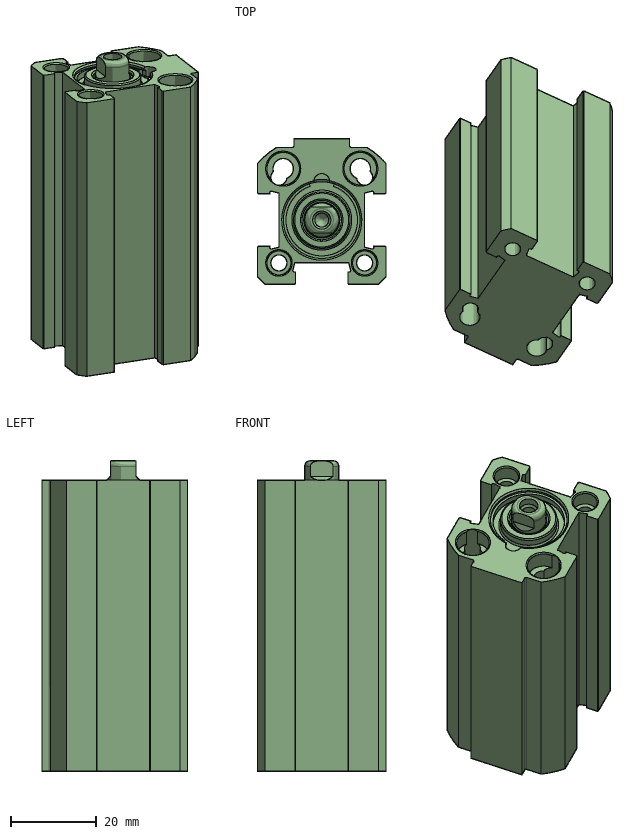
import cadquery as cq
import math


housing_height = 68.0
half_width = 15.0
shoulder_y = 17.0
corner_radius = 20.0
tab_y = 19.0
tab_half_width = 6.5
tab_root_fillet = 0.35

slot_depth = 5.0
slot_half_opening = 6.1
slot_lip_thickness = 2.9
slot_floor_half_width = 6.3
slot_undercut_half_width = 6.8
slot_undercut_fillet = 0.3
slot_mouth_fillet = 0.2

bolt_offset = 10.0
bolt_hole_diameter = 3.7
front_bore_diameter = 5.6
front_bore_depth = 4.0
rear_hole_x = 9.0
rear_hole_y = 12.0
rear_hole_diameter = 4.7
rear_bore_diameter = 7.6
rear_bore_depth = 4.6
corner_bore_chamfer = 0.3

bore_diameter = 17.9
mouth_chamfer = 0.4
notch_diameter = 3.7
notch_y = 9.0
notch_depth = 2.4

ring_outer_diameter = 19.0
ring_inner_diameter = 16.7
ring_top_depth = 0.9
ring_half_gap_angle = math.radians(19)
ring_groove_depth = (ring_outer_diameter - bore_diameter) / 2
ring_bottom_depth = notch_depth
ring_thickness = ring_bottom_depth - ring_top_depth

flange_length = 8.0
flange_depth = ring_bottom_depth
boss_diameter = 13.2
boss_chamfer = 0.3
boss_foot_diameter = 14.0
boss_foot_flare = (boss_foot_diameter - boss_diameter) / 2
scraper_recess_diameter = 9.2
scraper_recess_depth = 0.6
scraper_chamfer = 0.35
rod_bore_lead_in_diameter = 8.42

rod_diameter = 8.0
rod_projection = 4.5
rod_tip_fillet = 1.3
flat_half_width = 3.0
flat_base_height = 0.85
rod_relief_diameter = 4.25
rod_relief_depth = 1.9
rod_drill_diameter = 3.24
rod_drill_depth = 8.0
drill_point_half_angle = math.radians(59)

flange_top = housing_height - flange_depth
cover_bottom = flange_top - flange_length
rod_top = housing_height + rod_projection


def cylinder(diameter, z_bottom, z_top, x=0, y=0):
    return cq.Workplane("XY", origin=(x, y, z_bottom)).circle(diameter / 2).extrude(z_top - z_bottom)


def cone(bottom_diameter, top_diameter, z_bottom, z_top, x=0, y=0):
    solid = cq.Solid.makeCone(bottom_diameter / 2, top_diameter / 2, z_top - z_bottom, cq.Vector(x, y, z_bottom))
    return cq.Workplane(obj=solid)


def sensor_slot(angle):
    """T-shaped slot cut into the face at the given angle about Z; angle 0 is the +X face."""
    floor_x = half_width - slot_depth
    lip_x = half_width - slot_lip_thickness
    mouth_x = half_width - slot_mouth_fillet
    mouth_half_width = slot_half_opening + slot_mouth_fillet
    slot = (
        cq.Workplane("XY")
        .moveTo(floor_x, -slot_floor_half_width)
        .lineTo(lip_x, -slot_undercut_half_width)
        .lineTo(lip_x, -slot_half_opening)
        .lineTo(mouth_x, -slot_half_opening)
        .radiusArc((half_width, -mouth_half_width), -slot_mouth_fillet)
        .lineTo(half_width, mouth_half_width)
        .radiusArc((mouth_x, slot_half_opening), -slot_mouth_fillet)
        .lineTo(lip_x, slot_half_opening)
        .lineTo(lip_x, slot_undercut_half_width)
        .lineTo(floor_x, slot_floor_half_width)
        .close()
        .extrude(housing_height)
    )
    undercut_corners = cq.selectors.BoxSelector(
        (lip_x - slot_undercut_fillet, -half_width, 0),
        (lip_x + slot_undercut_fillet, -slot_half_opening - slot_undercut_fillet, housing_height),
    ) + cq.selectors.BoxSelector(
        (lip_x - slot_undercut_fillet, slot_half_opening + slot_undercut_fillet, 0),
        (lip_x + slot_undercut_fillet, half_width, housing_height),
    )
    slot = slot.edges("|Z").edges(undercut_corners).fillet(slot_undercut_fillet)
    return slot.rotate((0, 0, 0), (0, 0, 1), angle)


def housing_blank():
    """Extruded outline: a rectangle with rounded corners, plus the port tab."""
    block = (
        cq.Workplane("XY")
        .rect(2 * half_width, half_width + shoulder_y)
        .extrude(housing_height)
        .translate((0, (shoulder_y - half_width) / 2, 0))
        .intersect(cylinder(2 * corner_radius, 0, housing_height))
    )
    tab = (
        cq.Workplane("XY")
        .rect(2 * tab_half_width, tab_y)
        .extrude(housing_height)
        .translate((0, tab_y / 2, 0))
    )
    root_size = 2 * tab_root_fillet
    root_edges = cq.selectors.BoxSelector(
        (-tab_half_width - root_size, shoulder_y - root_size, 0),
        (tab_half_width + root_size, shoulder_y + root_size, housing_height),
    )
    return block.union(tab).edges("|Z").edges(root_edges).fillet(tab_root_fillet)


def chamfered_bore(diameter, depth, x, y):
    bore = cylinder(diameter, housing_height - depth, housing_height, x, y)
    mouth_diameter = diameter + 2 * corner_bore_chamfer
    mouth = cone(diameter, mouth_diameter, housing_height - corner_bore_chamfer, housing_height, x, y)
    return bore.union(mouth)


def bore_lead_in(depth, z_top):
    """45 degree cone that opens the main bore upwards."""
    return cone(bore_diameter, bore_diameter + 2 * depth, z_top - depth, z_top)


def build_housing():
    body = housing_blank()
    for angle in (0, 180, 270):
        body = body.cut(sensor_slot(angle))

    for side in (-1, 1):
        for y in (-bolt_offset, bolt_offset):
            body = body.cut(cylinder(bolt_hole_diameter, 0, housing_height, side * bolt_offset, y))
        body = body.cut(chamfered_bore(front_bore_diameter, front_bore_depth, side * bolt_offset, -bolt_offset))
        body = body.cut(cylinder(rear_hole_diameter, 0, housing_height, side * rear_hole_x, rear_hole_y))
        body = body.cut(chamfered_bore(rear_bore_diameter, rear_bore_depth, side * rear_hole_x, rear_hole_y))

    body = body.cut(cylinder(bore_diameter, cover_bottom, housing_height))
    body = body.cut(bore_lead_in(mouth_chamfer, housing_height))
    body = body.cut(cylinder(
        ring_outer_diameter, housing_height - ring_bottom_depth, housing_height - ring_top_depth))

    notch_floor = housing_height - notch_depth
    notch = cylinder(notch_diameter, notch_floor, housing_height, 0, notch_y)
    notch_lead_in = bore_lead_in(ring_groove_depth, notch_floor).intersect(
        cylinder(notch_diameter, notch_floor - ring_groove_depth, notch_floor, 0, notch_y))
    return body.cut(notch).cut(notch_lead_in)


def build_snap_ring():
    bottom = housing_height - ring_bottom_depth
    ring = cylinder(ring_outer_diameter, bottom, bottom + ring_thickness)
    ring = ring.cut(cylinder(ring_inner_diameter, bottom, bottom + ring_thickness))
    ring_radius = ring_outer_diameter / 2
    gap = (
        cq.Workplane("XY", origin=(0, 0, bottom))
        .polyline([
            (0, 0),
            (ring_radius * math.tan(ring_half_gap_angle), ring_radius),
            (-ring_radius * math.tan(ring_half_gap_angle), ring_radius),
        ])
        .close()
        .extrude(ring_thickness)
    )
    return ring.cut(gap)


def build_rod_cover():
    boss_top = housing_height
    recess_floor = boss_top - scraper_recess_depth
    cover = cylinder(bore_diameter, cover_bottom, flange_top)
    boss = cylinder(boss_diameter, flange_top, boss_top).faces(">Z").chamfer(boss_chamfer)
    foot = cone(boss_foot_diameter, boss_diameter, flange_top, flange_top + boss_foot_flare)
    cover = cover.union(boss).union(foot)
    cover = cover.cut(cylinder(rod_diameter, cover_bottom, boss_top))
    cover = cover.cut(cylinder(scraper_recess_diameter, recess_floor, boss_top))
    lead_in_depth = (rod_bore_lead_in_diameter - rod_diameter) / 2
    cover = cover.cut(cone(rod_diameter, rod_bore_lead_in_diameter, recess_floor - lead_in_depth, recess_floor))
    return cover.cut(cone(
        scraper_recess_diameter, scraper_recess_diameter + 2 * scraper_chamfer,
        boss_top - scraper_chamfer, boss_top))


def build_rod():
    rod = cylinder(rod_diameter, cover_bottom, rod_top).faces(">Z").edges().fillet(rod_tip_fillet)

    rod_radius = rod_diameter / 2
    flat_base = housing_height + flat_base_height
    ramp = rod_radius - flat_half_width
    flat = (
        cq.Workplane("YZ")
        .polyline([
            (flat_half_width, rod_top),
            (flat_half_width, flat_base),
            (rod_radius, flat_base - ramp),
            (rod_radius, rod_top),
        ])
        .close()
        .extrude(rod_radius, both=True)
    )
    rod = rod.cut(flat).cut(flat.mirror("XZ"))

    relief_bottom = rod_top - rod_relief_depth
    relief_cone_length = (rod_relief_diameter - rod_drill_diameter) / 2
    rod = rod.cut(cylinder(rod_relief_diameter, relief_bottom, rod_top))
    rod = rod.cut(cone(rod_drill_diameter, rod_relief_diameter, relief_bottom - relief_cone_length, relief_bottom))
    drill_bottom = rod_top - rod_drill_depth
    point_length = rod_drill_diameter / 2 / math.tan(drill_point_half_angle)
    rod = rod.cut(cylinder(rod_drill_diameter, drill_bottom, rod_top))
    return rod.cut(cone(0, rod_drill_diameter, drill_bottom - point_length, drill_bottom))


housing = build_housing()
snap_ring = build_snap_ring()
rod_cover = build_rod_cover()
rod = build_rod()

result = cq.Compound.makeCompound([housing.val(), snap_ring.val(), rod_cover.val(), rod.val()])